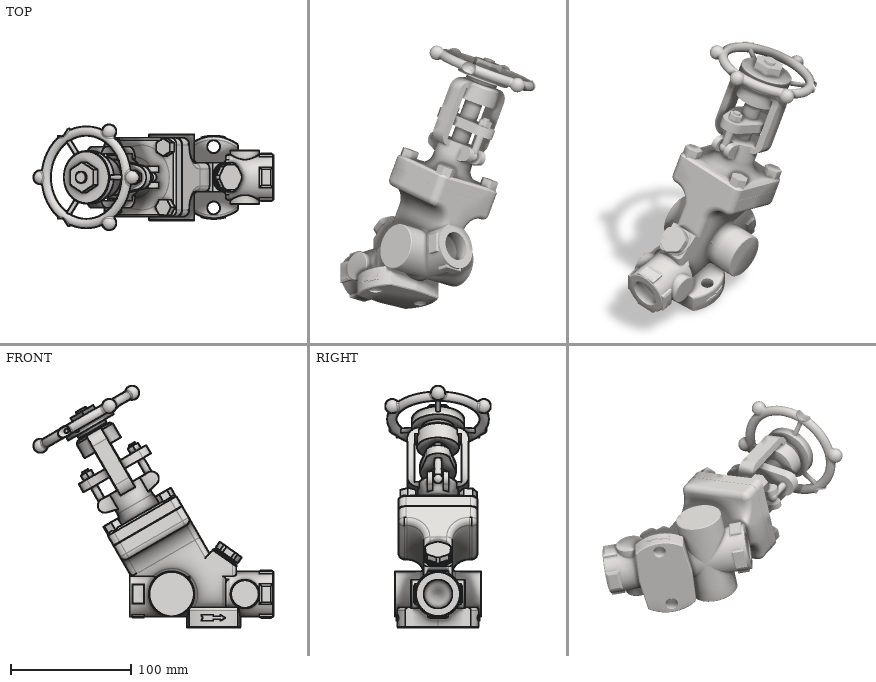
import cadquery as cq
import math

STEM_LEAN = 30

PIPE_D = 38
PIPE_LEFT_X = -48
PIPE_RIGHT_X = 72
INLET_PIPE_END_X = 2
OUTLET_PIPE_START_X = 32
OUTLET_BLEND_R = 2.6
PIPE_END_CHAMFER = 0.8
SOCKET_D = 24
SOCKET_DEPTH = 12
SOCKET_CONE_DEPTH = 10
PIPE_PAD_ANGLES = (0, 90, 180, 270)
LEFT_PAD_X = -40.8
LEFT_PAD_LENGTH = 10
LEFT_PAD_WIDTH = 16.4
LEFT_PAD_HEIGHT = 19.8
LEFT_PAD_INSET = 0.5
RIGHT_PAD_X = 65.7
RIGHT_PAD_LENGTH = 11.4
RIGHT_PAD_WIDTH = 17
RIGHT_PAD_HEIGHT = 20
RIGHT_PAD_INSET = 1.9

BIG_BOSS_D = 38
BIG_BOSS_X = -13
BIG_BOSS_SPAN = 72
BOSS_CHAMFER = 0.6
BIG_BOSS_FILLET = 2.5
BIG_BOSS_FILLET_BOTTOM_Z = -11
SMALL_BOSS_D = 24
SMALL_BOSS_X = 48
SMALL_BOSS_SPAN = 45

WEB_THICKNESS = 24
WEB_EDGE_R = 5
WEB_RIGHT_X = 41
WEB_RIGHT_EDGE_R = 3.4
WEB_RIGHT_TOP_Z = 23
WEB_BOTTOM_Z = -12
WEB_BOTTOM_LEFT_X = -10
WEB_TOP_HEIGHT = 36
WEB_NOTCH_HEIGHT = 20
THROAT_R = 14

FOOT_X = 22
FOOT_R = 34
FOOT_SHOULDER_X = 20.2
FOOT_POINT_X = 22.5
FOOT_BOTTOM_Z = -28.2
FOOT_TOP_Z = -10.9
FOOT_TOP_R = 2.5
FOOT_BOTTOM_CHAMFER = 0.8
FOOT_HOLE_D = 10.5
FOOT_HOLE_Y = 25.5
ARROW_HEIGHT = 0.8
ARROW_Z = -19.8
ARROW_TAIL_X = 11.5
ARROW_NOTCH_X = 13
ARROW_STEP_X = 21.5
ARROW_HEAD_X = 27.5
ARROW_TIP_X = 31.8
ARROW_HALF_WIDTH = 2.6
ARROW_NECK_HALF_WIDTH = 1.3

PLUG_TILT = 35.4
PLUG_TOP_X = 36.3
PLUG_TOP_Z = 37.1
PLUG_HEX_FLATS = 21
PLUG_D = 22.63
PLUG_HEX_HEIGHT = 6
PLUG_WASHER_D = 20
PLUG_WASHER_HEIGHT = 1.5
PLUG_BOSS_D = 24
PLUG_BOSS_LENGTH = 14
PLUG_SHOULDER_DEPTH = 9

FLANGE_SIZE = 66
FLANGE_CORNER_R = 6
BODY_FLANGE_BOTTOM = WEB_TOP_HEIGHT + THROAT_R
BODY_FLANGE_R = 5
JOINT_HEIGHT = 65.5
JOINT_GAP = 0.3
JOINT_SIZE = FLANGE_SIZE - 0.4
BONNET_TOP = 77
BONNET_CHAMFER = 2
BOLT_OFFSET = 25
BOLT_FLATS = 13
BOLT_HEAD_HEIGHT = 6.5

NECK_D = 34
NECK_TOP = 104
NECK_FILLET = 10
LUG_OUTER_SPAN = 18
LUG_GAP = 8.5
LUG_HEIGHT = 98
LUG_R = NECK_TOP - LUG_HEIGHT
LUG_ROOT_HEIGHT = 89.8

GLAND_BOLT_OFFSET = 22.5
GLAND_BOTTOM = 116.5
GLAND_TOP = 124.5
GLAND_CENTRE_D = 30
GLAND_END_D = 20
GLAND_BOLT_D = 6
GLAND_BOLT_TOP = 131.5
GLAND_NUT_FLATS = 10
GLAND_NUT_HEIGHT = 5.2
GLAND_BOLT_BALL_D = 8

YOKE_ARM_WIDTH = 14
YOKE_OUTER_SPAN = 51
YOKE_ARM_THICKNESS = 6
YOKE_BOTTOM = 98.7
YOKE_TOP = 156
YOKE_CORNER_R = 10
YOKE_BOSS_D = 35
YOKE_BOSS_BOTTOM = 140.5
YOKE_BOSS_CHAMFER = 2

STEM_D = 15
SLEEVE_D = 16
SLEEVE_TOP = 157.2
COLLAR_D = 27
HUB_BOTTOM = 160.2
HUB_D = 44
HUB_TOP = 168
HUB_CHAMFER = 0.5
WHEEL_NUT_FLATS = 22
WHEEL_NUT_TOP = 175.5
SPINDLE_D = 9.5
SPINDLE_TOP = 177.5
WHEEL_HEIGHT = 168
WHEEL_R = 38.5
WHEEL_BAR_D = 8
KNOB_CIRCLE_R = 44
KNOB_D = 12
KNOB_FILLET = 1.5
KNOB_ANGLES = (0, 60, 180, 300)
CUP_ANGLES = (120, 240)
SPOKE_ANGLES = (0, 120, 240)
SPOKE_D = 4
SPOKE_INNER_R = 18
SPOKE_INNER_HEIGHT = 163.5


def lean(shape):
    """Turn an upright shape onto the stem axis."""
    return shape.rotate((0, 0, 0), (0, 1, 0), -STEM_LEAN)


def leaned_point(across, height):
    """X and Z of a point given across and along the stem axis."""
    angle = math.radians(STEM_LEAN)
    x = across * math.cos(angle) - height * math.sin(angle)
    z = across * math.sin(angle) + height * math.cos(angle)
    return (x, z)


def plug_point(across, along):
    """X and Z of a point given across and along the plug axis, from the top of the plug."""
    angle = math.radians(PLUG_TILT)
    x = PLUG_TOP_X + across * math.cos(angle) + along * math.sin(angle)
    z = PLUG_TOP_Z - across * math.sin(angle) + along * math.cos(angle)
    return (x, z)


def upright_cylinder(diameter, bottom, top, x=0, y=0):
    return cq.Workplane("XY", origin=(x, y, bottom)).circle(diameter / 2).extrude(top - bottom)


def upright_hexagon(flats, bottom, top, x=0, y=0, turn=0):
    """Hexagon prism; with turn 0 its corners point along X."""
    corners = flats / math.cos(math.pi / 6)
    hexagon = cq.Workplane("XY").polygon(6, corners).extrude(top - bottom)
    return hexagon.rotate((0, 0, 0), (0, 0, 1), turn).translate((x, y, bottom))


def pipe(start_x, end_x):
    return cq.Workplane("YZ", origin=(start_x, 0, 0)).circle(PIPE_D / 2).extrude(end_x - start_x)


def cross_boss(diameter, x, span):
    boss = cq.Workplane("XZ", origin=(x, span / 2, 0)).circle(diameter / 2).extrude(span)
    return boss.faces("<Y or >Y").chamfer(BOSS_CHAMFER)


def wrench_pads(x, length, width, height, inset):
    """Four flat pads with sloping rims around a pipe stub; those under the body web are buried in it."""
    pipe_r = PIPE_D / 2
    rise = height - pipe_r
    slope = math.degrees(math.atan2(inset, rise))
    pad = cq.Workplane("XY").rect(length, width).extrude(pipe_r)
    rim = cq.Workplane("XY", origin=(0, 0, pipe_r)).rect(length, width).extrude(rise, taper=slope)
    pad = pad.union(rim)
    pads = cq.Workplane("XY")
    for angle in PIPE_PAD_ANGLES:
        pads = pads.union(pad.rotate((0, 0, 0), (1, 0, 0), angle))
    return pads.translate((x, 0, 0))


def socket(end_x, inward):
    """Blind pipe socket with a conical bottom, used as a cutter."""
    radius = SOCKET_D / 2
    cone_tip = SOCKET_DEPTH + SOCKET_CONE_DEPTH
    profile = [(0, 0), (0, radius), (inward * SOCKET_DEPTH, radius), (inward * cone_tip, 0)]
    return (
        cq.Workplane("XY", origin=(end_x, 0, 0))
        .polyline(profile)
        .close()
        .revolve(360, (0, 0, 0), (1, 0, 0))
    )


def outlet_blend():
    """Concave blend from the flat web sides to the start of the outlet pipe."""
    radius = OUTLET_BLEND_R
    inner = WEB_THICKNESS / 2
    strips = None
    for side in (-1, 1):
        strip = (
            cq.Workplane("XY", origin=(0, 0, -PIPE_D / 2))
            .moveTo(OUTLET_PIPE_START_X + radius, side * inner)
            .lineTo(OUTLET_PIPE_START_X - radius, side * inner)
            .radiusArc((OUTLET_PIPE_START_X, side * (inner + radius)), -side * radius)
            .lineTo(OUTLET_PIPE_START_X + radius, side * (inner + radius))
            .close()
            .extrude(PIPE_D)
        )
        strips = strip if strips is None else strips.union(strip)
    envelope = pipe(OUTLET_PIPE_START_X - radius, OUTLET_PIPE_START_X + radius)
    return strips.intersect(envelope)


def big_boss_fillet():
    """Flare where the large cross boss meets the web sides."""
    radius = BIG_BOSS_D / 2
    flare = BIG_BOSS_FILLET
    half = WEB_THICKNESS / 2
    ring = (
        cq.Workplane("XY")
        .moveTo(radius - flare, 0)
        .lineTo(radius + flare, 0)
        .lineTo(radius + flare, half)
        .radiusArc((radius, half + flare), flare)
        .lineTo(radius - flare, half + flare)
        .close()
        .revolve(360, (0, 0, 0), (0, 1, 0))
    )
    ring = ring.union(ring.mirror("XZ")).translate((BIG_BOSS_X, 0, 0))
    size = 2 * BIG_BOSS_D
    above = cq.Workplane("XY", origin=(BIG_BOSS_X, 0, BIG_BOSS_FILLET_BOTTOM_Z)).box(
        size, size, size, centered=(True, True, False)
    )
    return ring.intersect(above)


def web():
    """Upright plate that joins the pipe stubs, the foot, the plug boss and the throat."""
    half = FLANGE_SIZE / 2
    angle = math.radians(STEM_LEAN)
    left_corner_z = (WEB_TOP_HEIGHT + PIPE_LEFT_X * math.sin(angle)) / math.cos(angle)
    outline = [
        (PIPE_LEFT_X, 0),
        (WEB_BOTTOM_LEFT_X, 0),
        (WEB_BOTTOM_LEFT_X, WEB_BOTTOM_Z),
        (OUTLET_PIPE_START_X, WEB_BOTTOM_Z),
        (OUTLET_PIPE_START_X, 0),
        (WEB_RIGHT_X, 0),
        (WEB_RIGHT_X, WEB_RIGHT_TOP_Z),
        plug_point(-PLUG_BOSS_D / 2, -PLUG_SHOULDER_DEPTH),
        leaned_point(half, WEB_NOTCH_HEIGHT),
        leaned_point(half, WEB_TOP_HEIGHT),
        (PIPE_LEFT_X, left_corner_z),
    ]
    plate = cq.Workplane("XZ", origin=(0, WEB_THICKNESS / 2, 0)).polyline(outline).close()
    plate = plate.extrude(WEB_THICKNESS)
    right_face = plate.faces(cq.selectors.NearestToPointSelector((WEB_RIGHT_X, 0, WEB_RIGHT_TOP_Z / 2)))
    plate = right_face.edges("|Z").fillet(WEB_RIGHT_EDGE_R)
    shoulder = leaned_point(half, (WEB_NOTCH_HEIGHT + WEB_TOP_HEIGHT) / 2)
    shoulder_face = plate.faces(cq.selectors.NearestToPointSelector((shoulder[0], 0, shoulder[1])))
    return shoulder_face.edges("not |Y").fillet(WEB_EDGE_R)


def throat():
    """Flared part of the web that widens up to the body flange (upright frame)."""
    inner = WEB_THICKNESS / 2
    outer = FLANGE_SIZE
    top = BODY_FLANGE_BOTTOM + FLANGE_SIZE
    profile = (
        cq.Workplane("YZ", origin=(-FLANGE_SIZE / 2, 0, 0))
        .moveTo(inner, WEB_TOP_HEIGHT)
        .radiusArc((inner + THROAT_R, BODY_FLANGE_BOTTOM), THROAT_R)
        .lineTo(outer, BODY_FLANGE_BOTTOM)
        .lineTo(outer, top)
        .lineTo(-outer, top)
        .lineTo(-outer, BODY_FLANGE_BOTTOM)
        .lineTo(-inner - THROAT_R, BODY_FLANGE_BOTTOM)
        .radiusArc((-inner, WEB_TOP_HEIGHT), THROAT_R)
        .close()
    )
    flare = profile.extrude(FLANGE_SIZE)
    flare = flare.faces("<X or >X").edges("%CIRCLE").fillet(WEB_EDGE_R)
    flange_bottom_width = FLANGE_SIZE - 2 * BODY_FLANGE_R
    kept_height = THROAT_R + BODY_FLANGE_R
    kept = cq.Workplane("XY", origin=(0, 0, WEB_TOP_HEIGHT)).box(
        FLANGE_SIZE, flange_bottom_width, kept_height, centered=(True, True, False)
    )
    return flare.intersect(kept)


def square_flange(size, bottom, top):
    flange = cq.Workplane("XY", origin=(0, 0, bottom)).rect(size, size).extrude(top - bottom)
    return flange.edges("|Z").fillet(FLANGE_CORNER_R)


def flanges():
    """Body flange, bonnet flange and the thin joint between them (upright frame)."""
    lower = square_flange(FLANGE_SIZE, BODY_FLANGE_BOTTOM, JOINT_HEIGHT - JOINT_GAP / 2)
    lower = lower.faces("<Z").edges().fillet(BODY_FLANGE_R)
    upper = square_flange(FLANGE_SIZE, JOINT_HEIGHT + JOINT_GAP / 2, BONNET_TOP)
    upper = upper.faces(">Z").chamfer(BONNET_CHAMFER)
    joint = square_flange(JOINT_SIZE, JOINT_HEIGHT - JOINT_GAP, JOINT_HEIGHT + JOINT_GAP)
    return lower.union(joint).union(upper)


def bonnet_bolts():
    bolts = cq.Workplane("XY")
    for x_side in (-1, 1):
        for y_side in (-1, 1):
            turn = 90 if x_side == y_side else 0
            bolts = bolts.union(
                upright_hexagon(
                    BOLT_FLATS,
                    BONNET_TOP - BONNET_CHAMFER,
                    BONNET_TOP + BOLT_HEAD_HEIGHT,
                    x_side * BOLT_OFFSET,
                    y_side * BOLT_OFFSET,
                    turn,
                )
            )
    return bolts


def neck():
    radius = NECK_D / 2
    return (
        cq.Workplane("XZ")
        .moveTo(0, BONNET_TOP)
        .lineTo(radius + NECK_FILLET, BONNET_TOP)
        .radiusArc((radius, BONNET_TOP + NECK_FILLET), NECK_FILLET)
        .lineTo(radius, NECK_TOP)
        .lineTo(0, NECK_TOP)
        .close()
        .revolve(360, (0, 0, 0), (0, 1, 0))
    )


def lugs():
    """Forked lugs on both sides of the neck that hold the gland bolts."""
    root_x = math.sqrt((NECK_D / 2) ** 2 - (LUG_OUTER_SPAN / 2) ** 2)
    rise = LUG_HEIGHT - LUG_ROOT_HEIGHT
    reach = GLAND_BOLT_OFFSET - root_x
    slope = math.atan2(rise, reach) - math.asin(LUG_R / math.hypot(rise, reach))
    tangent_x = GLAND_BOLT_OFFSET + LUG_R * math.sin(slope)
    tangent_z = LUG_HEIGHT - LUG_R * math.cos(slope)
    lug = (
        cq.Workplane("XZ", origin=(0, LUG_OUTER_SPAN / 2, 0))
        .moveTo(0, LUG_ROOT_HEIGHT)
        .lineTo(root_x, LUG_ROOT_HEIGHT)
        .lineTo(tangent_x, tangent_z)
        .threePointArc((GLAND_BOLT_OFFSET + LUG_R, LUG_HEIGHT), (GLAND_BOLT_OFFSET, NECK_TOP))
        .lineTo(0, NECK_TOP)
        .close()
        .extrude(LUG_OUTER_SPAN)
    )
    pair = lug.union(lug.mirror("YZ"))
    slot = cq.Workplane("XY", origin=(0, 0, LUG_HEIGHT)).box(NECK_D * 2, LUG_GAP, NECK_D)
    return pair.cut(slot)


def gland():
    """Gland flange with tapered ends, and the swing bolts that press it down."""
    centre_r = GLAND_CENTRE_D / 2
    end_r = GLAND_END_D / 2
    angle = math.acos((centre_r - end_r) / GLAND_BOLT_OFFSET)
    near = (centre_r * math.cos(angle), centre_r * math.sin(angle))
    far = (GLAND_BOLT_OFFSET + end_r * math.cos(angle), end_r * math.sin(angle))
    tip = (GLAND_BOLT_OFFSET + end_r, 0)
    shape = (
        cq.Workplane("XY", origin=(0, 0, GLAND_BOTTOM))
        .moveTo(*near)
        .lineTo(*far)
        .threePointArc(tip, (far[0], -far[1]))
        .lineTo(near[0], -near[1])
        .threePointArc((0, -centre_r), (-near[0], -near[1]))
        .lineTo(-far[0], -far[1])
        .threePointArc((-tip[0], 0), (-far[0], far[1]))
        .lineTo(-near[0], near[1])
        .threePointArc((0, centre_r), near)
        .close()
        .extrude(GLAND_TOP - GLAND_BOTTOM)
    )
    for x in (-GLAND_BOLT_OFFSET, GLAND_BOLT_OFFSET):
        shape = shape.union(upright_cylinder(GLAND_BOLT_D, LUG_HEIGHT, GLAND_BOLT_TOP, x))
        nut = upright_hexagon(GLAND_NUT_FLATS, GLAND_TOP, GLAND_TOP + GLAND_NUT_HEIGHT, x, turn=90)
        shape = shape.union(nut)
        ball = cq.Workplane("XY").sphere(GLAND_BOLT_BALL_D / 2).translate((x, 0, LUG_HEIGHT))
        shape = shape.union(ball)
    return shape


def yoke():
    """Rounded frame from the neck up to the boss that guides the stem."""
    height = YOKE_TOP - YOKE_BOTTOM
    middle = (YOKE_TOP + YOKE_BOTTOM) / 2
    frame = cq.Workplane("XY").box(YOKE_ARM_WIDTH, YOKE_OUTER_SPAN, height)
    frame = frame.edges("|X").fillet(YOKE_CORNER_R).translate((0, 0, middle))
    window_span = YOKE_OUTER_SPAN - 2 * YOKE_ARM_THICKNESS
    window_height = YOKE_TOP - YOKE_ARM_THICKNESS - NECK_TOP
    window = cq.Workplane("XY", origin=(0, 0, NECK_TOP)).box(
        YOKE_ARM_WIDTH, window_span, window_height, centered=(True, True, False)
    )
    frame = frame.cut(window)
    boss = upright_cylinder(YOKE_BOSS_D, YOKE_BOSS_BOTTOM, YOKE_TOP)
    boss = boss.faces(">Z").chamfer(YOKE_BOSS_CHAMFER)
    return frame.union(boss)


def stem_and_hub():
    stem = upright_cylinder(STEM_D, NECK_TOP, YOKE_TOP)
    stem = stem.union(upright_cylinder(SLEEVE_D, YOKE_TOP, SLEEVE_TOP))
    stem = stem.union(upright_cylinder(COLLAR_D, SLEEVE_TOP, HUB_BOTTOM))
    hub = upright_cylinder(HUB_D, HUB_BOTTOM, HUB_TOP).faces(">Z").chamfer(HUB_CHAMFER)
    stem = stem.union(hub)
    stem = stem.union(upright_hexagon(WHEEL_NUT_FLATS, HUB_TOP, WHEEL_NUT_TOP, turn=90))
    return stem.union(upright_cylinder(SPINDLE_D, HUB_TOP, SPINDLE_TOP))


def wheel_sector(scooped):
    """Sixth of the wheel ring with a blended knob in its middle, or the hollow such a knob leaves."""
    span = 60
    sector = (
        cq.Workplane("XZ", origin=(WHEEL_R, 0, 0))
        .circle(WHEEL_BAR_D / 2)
        .revolve(span, (-WHEEL_R, 0, 0), (-WHEEL_R, 1, 0))
        .rotate((0, 0, 0), (0, 0, 1), -span / 2)
    )
    knob = cq.Workplane("XY").sphere(KNOB_D / 2).translate((KNOB_CIRCLE_R, 0, 0))
    sector = sector.union(knob)
    sector = sector.edges("%BSPLINE").fillet(KNOB_FILLET)
    return sector.cut(knob) if scooped else sector


def spoke(angle):
    reach = WHEEL_R - SPOKE_INNER_R
    rise = WHEEL_HEIGHT - SPOKE_INNER_HEIGHT
    bar = cq.Solid.makeCylinder(
        SPOKE_D / 2,
        math.hypot(reach, rise),
        cq.Vector(SPOKE_INNER_R, 0, SPOKE_INNER_HEIGHT),
        cq.Vector(reach, 0, rise),
    )
    return cq.Workplane(bar).rotate((0, 0, 0), (0, 0, 1), angle)


def hand_wheel():
    """Ring with four knobs, two hollow cups where knobs are scooped out, and three spokes."""
    ring = cq.Workplane("XY")
    for angles, scooped in ((KNOB_ANGLES, False), (CUP_ANGLES, True)):
        sector = wheel_sector(scooped).translate((0, 0, WHEEL_HEIGHT))
        for angle in angles:
            ring = ring.union(sector.rotate((0, 0, 0), (0, 0, 1), angle))
    for angle in SPOKE_ANGLES:
        ring = ring.union(spoke(angle), clean=False)
    return ring


def flow_arrow():
    """Outline of the raised flow arrow, extruded through the whole foot width."""
    upper = [
        (ARROW_TAIL_X, ARROW_HALF_WIDTH),
        (ARROW_STEP_X, ARROW_HALF_WIDTH),
        (ARROW_STEP_X, ARROW_NECK_HALF_WIDTH),
        (ARROW_HEAD_X, ARROW_NECK_HALF_WIDTH),
        (ARROW_HEAD_X, ARROW_HALF_WIDTH),
    ]
    lower = [(x, -z) for x, z in reversed(upper)]
    outline = [(ARROW_NOTCH_X, 0)] + upper + [(ARROW_TIP_X, 0)] + lower
    return (
        cq.Workplane("XZ", origin=(0, 0, ARROW_Z))
        .polyline(outline)
        .close()
        .extrude(2 * FOOT_R, both=True)
    )


def foot():
    """Mounting foot: round sides, slightly pointed ends, two bolt holes and flow arrows."""
    shoulder_y = math.sqrt(FOOT_R**2 - FOOT_SHOULDER_X**2)
    height = FOOT_TOP_Z - FOOT_BOTTOM_Z
    base = (
        cq.Workplane("XY", origin=(FOOT_X, 0, FOOT_BOTTOM_Z))
        .moveTo(-FOOT_SHOULDER_X, shoulder_y)
        .threePointArc((0, FOOT_R), (FOOT_SHOULDER_X, shoulder_y))
        .lineTo(FOOT_POINT_X, 0)
        .lineTo(FOOT_SHOULDER_X, -shoulder_y)
        .threePointArc((0, -FOOT_R), (-FOOT_SHOULDER_X, -shoulder_y))
        .lineTo(-FOOT_POINT_X, 0)
        .close()
        .extrude(height)
    )
    base = base.faces(">Z").edges("%CIRCLE").fillet(FOOT_TOP_R)
    base = base.faces("<Z").chamfer(FOOT_BOTTOM_CHAMFER)
    raised = cq.Workplane("XY", origin=(FOOT_X, 0, FOOT_BOTTOM_Z)).circle(FOOT_R + ARROW_HEIGHT)
    base = base.union(raised.extrude(height).intersect(flow_arrow()))
    holes = cq.Workplane("XY", origin=(FOOT_X, 0, FOOT_BOTTOM_Z))
    holes = holes.pushPoints([(0, -FOOT_HOLE_Y), (0, FOOT_HOLE_Y)])
    return base.cut(holes.circle(FOOT_HOLE_D / 2).extrude(height))


def plug():
    """Hexagon plug with corners turned off, its washer and the boss that takes it."""
    washer_bottom = -PLUG_HEX_HEIGHT - PLUG_WASHER_HEIGHT
    head = upright_hexagon(PLUG_HEX_FLATS, -PLUG_HEX_HEIGHT, 0)
    head = head.intersect(upright_cylinder(PLUG_D, -PLUG_HEX_HEIGHT, 0))
    washer = upright_cylinder(PLUG_WASHER_D, washer_bottom, -PLUG_HEX_HEIGHT)
    boss = upright_cylinder(PLUG_BOSS_D, washer_bottom - PLUG_BOSS_LENGTH, washer_bottom)
    boss = boss.faces(">Z").chamfer(BOSS_CHAMFER)
    tilted = head.union(washer).union(boss).rotate((0, 0, 0), (0, 1, 0), PLUG_TILT)
    return tilted.translate((PLUG_TOP_X, 0, PLUG_TOP_Z))


def body():
    inlet = pipe(PIPE_LEFT_X, INLET_PIPE_END_X)
    outlet = pipe(OUTLET_PIPE_START_X, PIPE_RIGHT_X)
    outlet = outlet.faces("<X").edges().fillet(OUTLET_BLEND_R)
    outlet = outlet.faces(">X").chamfer(PIPE_END_CHAMFER)
    shape = web().union(inlet).union(outlet).union(outlet_blend())
    shape = shape.union(cross_boss(BIG_BOSS_D, BIG_BOSS_X, BIG_BOSS_SPAN)).union(big_boss_fillet())
    shape = shape.union(cross_boss(SMALL_BOSS_D, SMALL_BOSS_X, SMALL_BOSS_SPAN))
    left_pads = wrench_pads(
        LEFT_PAD_X, LEFT_PAD_LENGTH, LEFT_PAD_WIDTH, LEFT_PAD_HEIGHT, LEFT_PAD_INSET
    )
    right_pads = wrench_pads(
        RIGHT_PAD_X, RIGHT_PAD_LENGTH, RIGHT_PAD_WIDTH, RIGHT_PAD_HEIGHT, RIGHT_PAD_INSET
    )
    shape = shape.union(left_pads).union(right_pads)
    shape = shape.union(plug()).union(foot())
    return shape.cut(socket(PIPE_LEFT_X, 1)).cut(socket(PIPE_RIGHT_X, -1))


def upper_works():
    """Everything above the web, in the upright frame."""
    shape = throat().union(flanges()).union(bonnet_bolts()).union(neck()).union(lugs())
    return shape.union(yoke()).union(stem_and_hub()).union(gland()).union(hand_wheel(), clean=False)


result = body().union(lean(upper_works()), clean=False)